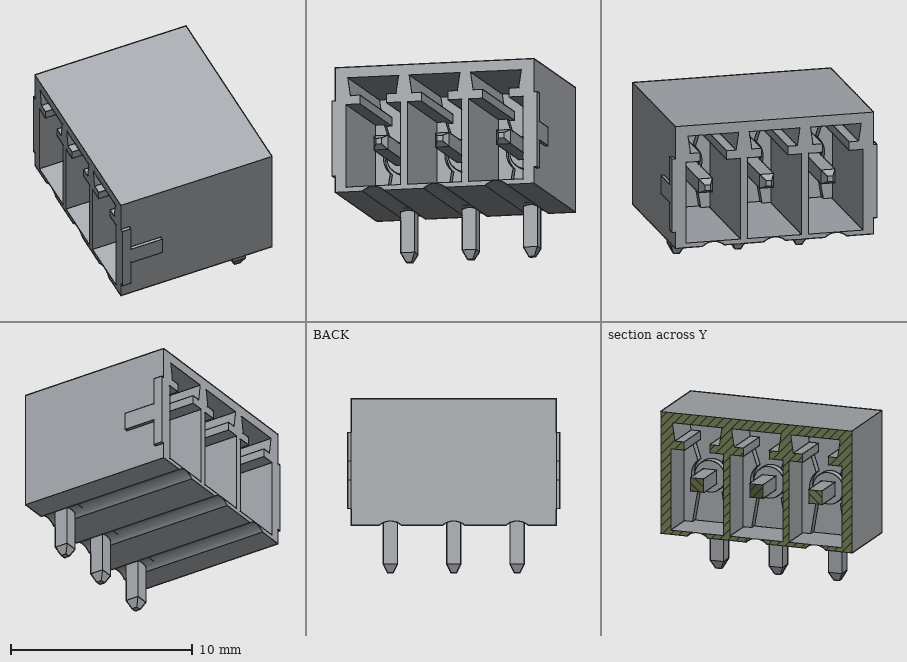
import cadquery as cq
import math


WAYS = 3
PITCH = 3.5
WAY_CENTRES = [(i - (WAYS - 1) / 2) * PITCH for i in range(WAYS)]

OVERALL_WIDTH = 11.7
SIDE_RIB_THICKNESS = 0.19
HOUSING_WIDTH = OVERALL_WIDTH - 2 * SIDE_RIB_THICKNESS
HOUSING_DEPTH = 9.2
HOUSING_HEIGHT = 7.0

RIB_MIDDLE_Z = 3.03
RIB_BAR_HEIGHT = 4.21
RIB_BAR_DEPTH = 0.53
RIB_STEM_HEIGHT = 1.03
RIB_STEM_DEPTH = 2.43

PIN_SIDE = 0.8
PIN_AXIS_Z = 3.0
OVERALL_HEIGHT = 9.6
LEG_END_Z = HOUSING_HEIGHT - OVERALL_HEIGHT
LEG_TO_BACK = 1.19
LEG_Y = HOUSING_DEPTH - LEG_TO_BACK
PIN_FRONT_Y = 1.2
TAPER_LENGTH = 0.49
TAPER_END_SIDE = 0.32

CAVITY_DEPTH = 7.02
CAVITY_FLOOR_Z = 0.27
CHAMBER_WIDTH = 3.1
LEDGE_BOTTOM_Z = 4.9
LEDGE_TOP_Z = 5.39
NECK_WIDTH = 1.51
DOVETAIL_TOP_Z = 6.4
DOVETAIL_BOTTOM_WIDTH = 2.6
DOVETAIL_TOP_WIDTH = 2.9

RELIEF_HEIGHT = 0.47
BOSS_DIAMETER = 1.8
PAD_CLEARANCE_DIAMETER = 2.2
PAD_FLOOR_GAP = 0.04
PAD_WAIST = 1.43
PAD_SPACING_TOP = 2.12
PAD_SPACING_BOTTOM = 2.06

GROOVE_DIAMETER = 1.8
GROOVE_HEIGHT = 0.25


def box(width, y_start, y_end, z_start, z_end):
    """Block centred on X = 0, between the given Y and Z limits."""
    return (
        cq.Workplane("XY")
        .box(width, y_end - y_start, z_end - z_start, centered=(True, False, False))
        .translate((0, y_start, z_start))
    )


def facing_front(y):
    """Sketch plane at y whose local axes are X and Z; positive extrusion runs towards -Y."""
    return cq.Workplane("XZ", origin=(0, y, 0))


def make_side_ribs():
    """Both T-shaped ribs, as bars that run right across the housing."""
    bar = box(
        OVERALL_WIDTH, 0, RIB_BAR_DEPTH,
        RIB_MIDDLE_Z - RIB_BAR_HEIGHT / 2, RIB_MIDDLE_Z + RIB_BAR_HEIGHT / 2,
    )
    stem = box(
        OVERALL_WIDTH, 0, RIB_STEM_DEPTH,
        RIB_MIDDLE_Z - RIB_STEM_HEIGHT / 2, RIB_MIDDLE_Z + RIB_STEM_HEIGHT / 2,
    )
    return bar.union(stem)


def make_cavity():
    """Space for the plug of a way at X = 0."""
    right_side = [
        (CHAMBER_WIDTH / 2, CAVITY_FLOOR_Z),
        (CHAMBER_WIDTH / 2, LEDGE_BOTTOM_Z),
        (NECK_WIDTH / 2, LEDGE_BOTTOM_Z),
        (NECK_WIDTH / 2, LEDGE_TOP_Z),
        (DOVETAIL_BOTTOM_WIDTH / 2, LEDGE_TOP_Z),
        (DOVETAIL_TOP_WIDTH / 2, DOVETAIL_TOP_Z),
    ]
    left_side = [(-x, z) for x, z in reversed(right_side)]
    return facing_front(0).polyline(right_side + left_side).close().extrude(-CAVITY_DEPTH)


def make_relief():
    """Boss and pads that stand forward from the back of the cavity of a way at X = 0."""
    waist_rise = math.sqrt((PAD_CLEARANCE_DIAMETER / 2) ** 2 - (PAD_WAIST / 2) ** 2)
    pad = (
        facing_front(CAVITY_DEPTH)
        .moveTo(CHAMBER_WIDTH / 2, CAVITY_FLOOR_Z + PAD_FLOOR_GAP)
        .lineTo(CHAMBER_WIDTH / 2, LEDGE_BOTTOM_Z)
        .lineTo(PAD_SPACING_TOP / 2, LEDGE_BOTTOM_Z)
        .lineTo(PAD_WAIST / 2, PIN_AXIS_Z + waist_rise)
        .threePointArc(
            (PAD_CLEARANCE_DIAMETER / 2, PIN_AXIS_Z),
            (PAD_WAIST / 2, PIN_AXIS_Z - waist_rise),
        )
        .lineTo(PAD_SPACING_BOTTOM / 2, CAVITY_FLOOR_Z + PAD_FLOOR_GAP)
        .close()
        .extrude(RELIEF_HEIGHT)
    )
    boss = (
        facing_front(CAVITY_DEPTH)
        .center(0, PIN_AXIS_Z)
        .circle(BOSS_DIAMETER / 2)
        .extrude(RELIEF_HEIGHT)
    )
    return boss.union(pad).union(pad.mirror("YZ"))


def make_groove():
    """Groove along the whole underside below a way at X = 0."""
    radius = GROOVE_DIAMETER / 2
    return facing_front(0).center(0, GROOVE_HEIGHT - radius).circle(radius).extrude(-HOUSING_DEPTH)


def tapered_bar(plane, length):
    """Square bar along the plane's normal, its taper included in the length."""
    straight = length - TAPER_LENGTH
    bar = cq.Workplane(plane).rect(PIN_SIDE, PIN_SIDE).extrude(straight)
    taper = (
        cq.Workplane(plane)
        .workplane(offset=straight)
        .rect(PIN_SIDE, PIN_SIDE)
        .workplane(offset=TAPER_LENGTH)
        .rect(TAPER_END_SIDE, TAPER_END_SIDE)
        .loft()
    )
    return bar.union(taper)


def make_pin(x):
    """Square L-shaped pin with a tapered contact end and a tapered solder end."""
    back_y = LEG_Y + PIN_SIDE / 2
    top_z = PIN_AXIS_Z + PIN_SIDE / 2
    contact_plane = cq.Plane(origin=(x, back_y, PIN_AXIS_Z), xDir=(1, 0, 0), normal=(0, -1, 0))
    leg_plane = cq.Plane(origin=(x, LEG_Y, top_z), xDir=(1, 0, 0), normal=(0, 0, -1))
    contact = tapered_bar(contact_plane, back_y - PIN_FRONT_Y)
    leg = tapered_bar(leg_plane, top_z - LEG_END_Z)
    return contact.union(leg)


def make_housing(pins):
    """Block with one cavity and one groove per way, and a close-fitting hole for each pin."""
    body = box(HOUSING_WIDTH, 0, HOUSING_DEPTH, 0, HOUSING_HEIGHT).union(make_side_ribs())
    hollow = make_cavity().cut(make_relief()).union(make_groove())
    for x in WAY_CENTRES:
        body = body.cut(hollow.translate((x, 0, 0)))
    for pin in pins:
        body = body.cut(pin)
    return body


pins = [make_pin(x) for x in WAY_CENTRES]
housing = make_housing(pins)

result = cq.Compound.makeCompound([housing.val(), *[pin.val() for pin in pins]])